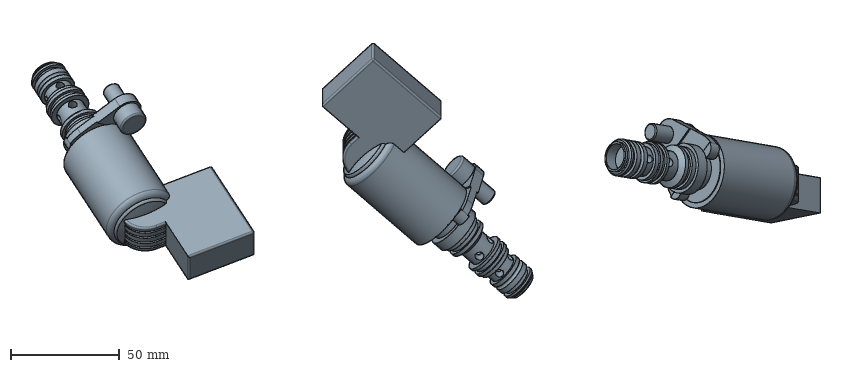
import cadquery as cq
import math


STEM_RADIUS = 7.0
LAND_RADIUS = 8.6
RING_RADIUS = 9.5
RING_GROOVE_RADIUS = 8.2
COLLAR_START = 34.8
COLLAR_RADIUS = 10.0
COLLAR_GROOVE_RADIUS = 8.6
CONE_START = 32.9
SPIGOT_START = 41.3
SPIGOT_RADIUS = 11.5
BANDS = (
    (5.6, 12.4, LAND_RADIUS),
    (17.3, 19.5, LAND_RADIUS),
    (19.5, 21.2, RING_RADIUS),
    (21.2, 23.5, RING_GROOVE_RADIUS),
    (23.5, 25.0, RING_RADIUS),
    (COLLAR_START, 36.7, COLLAR_RADIUS),
    (36.7, 39.0, COLLAR_GROOVE_RADIUS),
    (39.0, SPIGOT_START, COLLAR_RADIUS),
)
END_LAND_START = 1.3
END_LAND_END = 3.5
END_LAND_CHAMFER_LENGTH = 1.0
END_LAND_CHAMFER_DROP = 0.7
ROUND_GROOVE_CENTRE = 9.3
ROUND_GROOVE_RADIUS = 1.0
BORE_RADIUS = 6.0
BORE_DEPTH = 5.8
PORTS = ((14.8, 1.9), (27.5, 2.0))

BODY_START = 52.4
BODY_RADIUS = 17.1
SHOULDER_START = 96.4
SHOULDER_LENGTH = 3.0
CAP_RADIUS = 14.6
CAP_LENGTH = 1.6
CAP_DROP = 0.7
DOME_HEIGHT = 2.5
DISC_RADIUS = 14.6
DISC_THICKNESS = 0.4

FLANGE_START = 46.8
FLANGE_THICKNESS = BODY_START - DISC_THICKNESS - FLANGE_START
LUG_Y = 15.3
LUG_Z = 18.4
LUG_RADIUS = 7.5
LUG_DISTANCE = math.hypot(LUG_Y, LUG_Z)
LUG_ANGLE = math.degrees(math.atan2(LUG_Z, LUG_Y))
ARM_END_RADIUS = 4.2
HUB_RADIUS = BODY_RADIUS - 2 * ARM_END_RADIUS
RECESS_DEPTH = 0.8
RECESS_END = 15.2

BOLT_START = 35.9
BOLT_RADIUS = 4.0
BOLT_CHAMFER = 0.5
HEAD_RADIUS = 6.6
HEAD_END = 59.7
HEAD_FILLET = 1.0

TOTAL_LENGTH = 134.4
BLOCK_START = 90.3
BLOCK_BACK = 40.0
BLOCK_FRONT = 6.0
BLOCK_HEIGHT = 16.5
BLOCK_FILLET = 1.0
NECK_START = 96.8
NECK_END = 111.4
NECK_RADIUS = 11.8
NECK_CENTRE_Y = 1.2
SLOT_DEPTH = 2.0
SLOT_WIDTH = 1.1
SLOT_CENTRES = (-5.5, -1.9, 1.9, 5.5)


def rod(start, end, radius, y=0.0, z=0.0):
    """Round bar parallel to X."""
    return cq.Workplane("YZ", origin=(start, y, z)).circle(radius).extrude(end - start)


def cone(start, end, start_radius, end_radius):
    """Truncated cone on the valve axis."""
    base = cq.Vector(start, 0, 0)
    return cq.Workplane(cq.Solid.makeCone(start_radius, end_radius, end - start, base, cq.Vector(1, 0, 0)))


def make_nose():
    """Turned nose from the open tip to the body face, with bore and crossing ports."""
    nose = rod(0, CONE_START, STEM_RADIUS)
    for start, end, radius in BANDS:
        nose = nose.union(rod(start, end, radius))

    chamfer_end = END_LAND_START + END_LAND_CHAMFER_LENGTH
    nose = nose.union(cone(END_LAND_START, chamfer_end, LAND_RADIUS - END_LAND_CHAMFER_DROP, LAND_RADIUS))
    nose = nose.union(rod(chamfer_end, END_LAND_END, LAND_RADIUS))
    nose = nose.union(cone(CONE_START, COLLAR_START, STEM_RADIUS, COLLAR_RADIUS))
    nose = nose.union(rod(SPIGOT_START, FLANGE_START, SPIGOT_RADIUS))
    nose = nose.union(rod(FLANGE_START, BODY_START, HUB_RADIUS))

    groove = cq.Solid.makeTorus(
        LAND_RADIUS, ROUND_GROOVE_RADIUS, cq.Vector(ROUND_GROOVE_CENTRE, 0, 0), cq.Vector(1, 0, 0)
    )
    nose = nose.cut(cq.Workplane(groove))
    nose = nose.cut(rod(0, BORE_DEPTH, BORE_RADIUS))
    for position, radius in PORTS:
        for plane in ("XY", "XZ"):
            port = cq.Workplane(plane, origin=(position, 0, 0)).circle(radius)
            nose = nose.cut(port.extrude(LAND_RADIUS, both=True))
    return nose


def rounding_middle(x, radius, length, drop):
    """Middle of the arc that leaves (x, radius) parallel to X and falls by the drop over the length."""
    arc_radius = (length**2 + drop**2) / (2 * drop)
    half_angle = math.asin(length / arc_radius) / 2
    return x + arc_radius * math.sin(half_angle), radius - arc_radius * (1 - math.cos(half_angle))


def make_body():
    """Solenoid can with a rounded shoulder, a rounded cap step and a shallow dome."""
    shoulder_end = SHOULDER_START + SHOULDER_LENGTH
    cap_end = shoulder_end + CAP_LENGTH
    dome_base = CAP_RADIUS - CAP_DROP
    dome_sphere = (dome_base**2 + DOME_HEIGHT**2) / (2 * DOME_HEIGHT)
    half_angle = math.asin(dome_base / dome_sphere) / 2
    dome_middle = (
        cap_end + DOME_HEIGHT - dome_sphere * (1 - math.cos(half_angle)),
        dome_sphere * math.sin(half_angle),
    )
    shoulder_middle = rounding_middle(SHOULDER_START, BODY_RADIUS, SHOULDER_LENGTH, BODY_RADIUS - CAP_RADIUS)
    cap_middle = rounding_middle(shoulder_end, CAP_RADIUS, CAP_LENGTH, CAP_DROP)
    can = (
        cq.Workplane("XY")
        .moveTo(BODY_START, 0)
        .lineTo(BODY_START, BODY_RADIUS)
        .lineTo(SHOULDER_START, BODY_RADIUS)
        .threePointArc(shoulder_middle, (shoulder_end, CAP_RADIUS))
        .threePointArc(cap_middle, (cap_end, dome_base))
        .threePointArc(dome_middle, (cap_end + DOME_HEIGHT, 0))
        .close()
        .revolve(360, (0, 0, 0), (1, 0, 0))
    )
    return can.union(rod(BODY_START - DISC_THICKNESS, BODY_START, DISC_RADIUS))


def make_flange():
    """Yoke around the hub; sketched with the lug on local +X, then turned to the lug angle."""
    tangent = math.acos((BODY_RADIUS - LUG_RADIUS) / LUG_DISTANCE)
    along, across = math.cos(tangent), math.sin(tangent)
    bisector = math.pi / 4 - tangent / 2
    middle_x, middle_y = BODY_RADIUS * math.sin(bisector), BODY_RADIUS * math.cos(bisector)
    plate_plane = cq.Workplane("YZ", origin=(FLANGE_START, 0, 0))
    plate = (
        plate_plane.moveTo(0, -BODY_RADIUS)
        .threePointArc((middle_x, -middle_y), (BODY_RADIUS * along, -BODY_RADIUS * across))
        .lineTo(LUG_DISTANCE + LUG_RADIUS * along, -LUG_RADIUS * across)
        .threePointArc(
            (LUG_DISTANCE + LUG_RADIUS, 0),
            (LUG_DISTANCE + LUG_RADIUS * along, LUG_RADIUS * across),
        )
        .lineTo(BODY_RADIUS * along, BODY_RADIUS * across)
        .threePointArc((middle_x, middle_y), (0, BODY_RADIUS))
        .close()
        .extrude(FLANGE_THICKNESS)
    )
    cutter_width = 3 * BODY_RADIUS

    for face in (FLANGE_START, FLANGE_START + FLANGE_THICKNESS - RECESS_DEPTH):
        recess = cq.Workplane("YZ", origin=(face, RECESS_END / 2, 0)).rect(RECESS_END, cutter_width)
        plate = plate.cut(recess.extrude(RECESS_DEPTH))

    arm_offset = BODY_RADIUS - ARM_END_RADIUS
    arm_ends = plate_plane.pushPoints([(0, arm_offset), (0, -arm_offset)]).circle(ARM_END_RADIUS)
    arm_ends = arm_ends.extrude(FLANGE_THICKNESS)
    lug_side = plate_plane.center(LUG_DISTANCE / 2, 0).rect(LUG_DISTANCE, cutter_width)
    arm_ends = arm_ends.cut(lug_side.extrude(FLANGE_THICKNESS))
    return plate.union(arm_ends).rotate((0, 0, 0), (1, 0, 0), LUG_ANGLE)


def make_bolt():
    """Bolt through the lug, parallel to the valve."""
    shank = rod(BOLT_START, HEAD_END, BOLT_RADIUS, LUG_Y, LUG_Z).faces("<X").chamfer(BOLT_CHAMFER)
    head = rod(FLANGE_START + FLANGE_THICKNESS, HEAD_END, HEAD_RADIUS, LUG_Y, LUG_Z)
    return shank.union(head.faces(">X").edges().fillet(HEAD_FILLET))


def neck_outline(inset):
    """Neck area in the XY plane, its outer curve moved inwards by the inset."""
    radius = NECK_RADIUS - inset
    centre_x = NECK_END - NECK_RADIUS
    diagonal = radius * math.sqrt(0.5)
    return (
        cq.Workplane("XY", origin=(0, 0, -BLOCK_HEIGHT / 2))
        .moveTo(NECK_START, BLOCK_FRONT)
        .lineTo(centre_x + radius, BLOCK_FRONT)
        .lineTo(centre_x + radius, NECK_CENTRE_Y)
        .threePointArc(
            (centre_x + diagonal, NECK_CENTRE_Y - diagonal),
            (centre_x, NECK_CENTRE_Y - radius),
        )
        .lineTo(NECK_START, NECK_CENTRE_Y - radius)
        .close()
    )


def make_connector():
    """Connector block with its slotted, rounded neck."""
    block = (
        cq.Workplane("XY", origin=(BLOCK_START, BLOCK_FRONT, -BLOCK_HEIGHT / 2))
        .rect(TOTAL_LENGTH - BLOCK_START, BLOCK_BACK - BLOCK_FRONT, centered=False)
        .extrude(BLOCK_HEIGHT)
    )
    block = block.faces(">X or >Y").edges().fillet(BLOCK_FILLET)
    blank = neck_outline(0).extrude(BLOCK_HEIGHT)
    neck = blank.faces("<Z or >Z").edges(">X or %CIRCLE").fillet(BLOCK_FILLET)
    rim = blank.cut(neck_outline(SLOT_DEPTH).extrude(BLOCK_HEIGHT))
    for centre in SLOT_CENTRES:
        slab = cq.Workplane("XY", origin=(NECK_END, 0, centre)).box(TOTAL_LENGTH, TOTAL_LENGTH, SLOT_WIDTH)
        neck = neck.cut(rim.intersect(slab))
    return block.union(neck)


result = make_nose()
for component in (make_body(), make_flange(), make_bolt(), make_connector()):
    result = result.union(component)